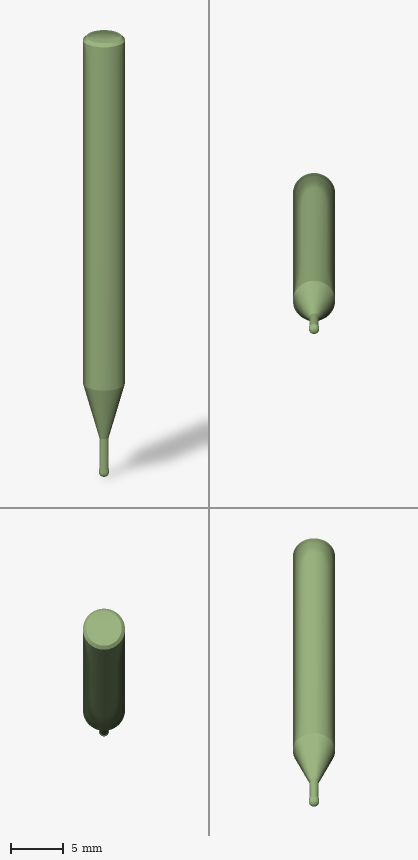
import cadquery as cq
import math

total_length = 45.0
shank_radius = 4.0 / 2
shank_chamfer = 0.3

ball_radius = 0.5
cutting_length = 0.75
neck_radius = 0.45
neck_end = 4.0
cone_end = 9.6


def make_cutting_head():
    """Hemispherical tip with a short cylinder of the same radius."""
    arc_offset = ball_radius * math.sqrt(0.5)
    profile = (
        cq.Workplane("XZ")
        .moveTo(0, 0)
        .threePointArc((arc_offset, ball_radius - arc_offset), (ball_radius, ball_radius))
        .lineTo(ball_radius, cutting_length)
        .lineTo(0, cutting_length)
        .close()
    )
    return profile.revolve(360, (0, 0, 0), (0, 1, 0))


def make_shank():
    """Relieved neck, cone and chamfered shank."""
    profile = (
        cq.Workplane("XZ")
        .moveTo(0, cutting_length)
        .lineTo(neck_radius, cutting_length)
        .lineTo(neck_radius, neck_end)
        .lineTo(shank_radius, cone_end)
        .lineTo(shank_radius, total_length - shank_chamfer)
        .lineTo(shank_radius - shank_chamfer, total_length)
        .lineTo(0, total_length)
        .close()
    )
    return profile.revolve(360, (0, 0, 0), (0, 1, 0))


cutting_head = make_cutting_head()
shank = make_shank()

result = cq.Compound.makeCompound([cutting_head.val(), shank.val()])